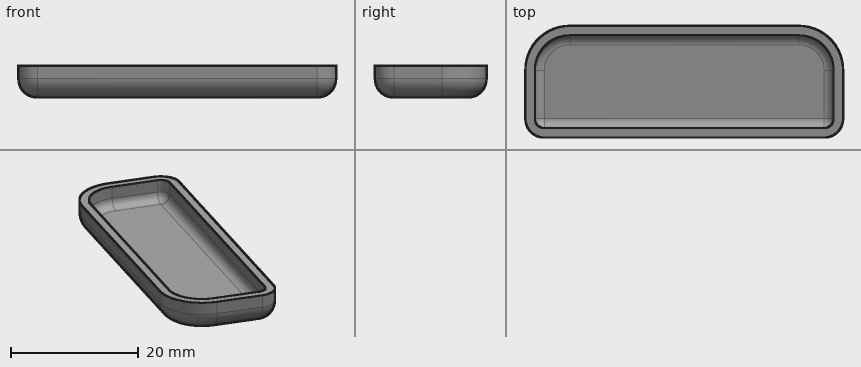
import cadquery as cq

LENGTH = 49.77
WIDTH = 17.53
HEIGHT = 5.0

WALL = 1.5
FLOOR = 1.5

BACK_CORNER_RADIUS = 7.0
FRONT_CORNER_RADIUS = 3.0
BOTTOM_EDGE_RADIUS = 3.0

CAVITY_EDGE_RADIUS = BOTTOM_EDGE_RADIUS - WALL


def rounded_tray_block(inset, bottom_z, edge_radius):
    """Solid from bottom_z to the rim, inset from the outline, with its bottom edge rounded."""
    block = (
        cq.Workplane("XY")
        .workplane(offset=bottom_z)
        .rect(LENGTH - 2 * inset, WIDTH - 2 * inset)
        .extrude(HEIGHT - bottom_z)
    )
    block = block.edges("|Z and >Y").fillet(BACK_CORNER_RADIUS - inset)
    block = block.edges("|Z and <Y").fillet(FRONT_CORNER_RADIUS - inset)
    return block.faces("<Z").edges().fillet(edge_radius)


outer_body = rounded_tray_block(0, 0, BOTTOM_EDGE_RADIUS)
cavity = rounded_tray_block(WALL, FLOOR, CAVITY_EDGE_RADIUS)

result = outer_body.cut(cavity)